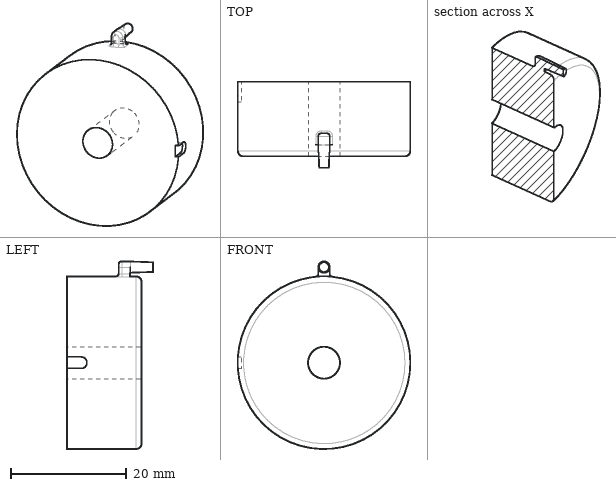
import cadquery as cq
import math

body_diameter = 30.0
body_length = 13.0
body_edge_radius = 1.0
bore_diameter = 5.5

slot_width = 2.0
slot_length = 3.5
slot_depth = 0.6

post_width = 2.0
post_thickness = 2.0
post_front = 2.0
post_top = 17.59
post_root_depth = 4.0
post_edge_radius = 0.5
post_foot_radius = 0.5

peg_length = 4.0
peg_taper_angle = 2.0

body_radius = body_diameter / 2
post_radius = post_width / 2
peg_height = post_top - post_radius


def make_body():
    """Cylinder with its front rim rounded."""
    body = cq.Workplane("XZ").circle(body_radius).extrude(-body_length)
    return body.faces("<Y").edges().fillet(body_edge_radius)


def make_post():
    """Round-topped post, rooted inside the body, with its back outline rounded."""
    root_height = body_radius - post_root_depth
    post = (
        cq.Workplane("XZ", origin=(0, post_front, 0))
        .moveTo(-post_radius, root_height)
        .lineTo(post_radius, root_height)
        .lineTo(post_radius, peg_height)
        .threePointArc((0, post_top), (-post_radius, peg_height))
        .close()
        .extrude(-post_thickness)
    )
    return post.faces(">Y").edges().fillet(post_edge_radius)


def blend_post_foot(part):
    """Fillet where the sides and back of the post meet the rim."""
    rim_height_at_side = math.sqrt(body_radius**2 - post_radius**2)
    margin = 0.02
    foot_zone = cq.selectors.BoxSelector(
        (-post_radius - margin, post_front + margin, rim_height_at_side - margin),
        (post_radius + margin, post_front + post_thickness + margin, body_radius + margin),
    )
    return part.edges(foot_zone).fillet(post_foot_radius)


def make_peg():
    """Cone frustum shrinking toward its front tip."""
    return (
        cq.Workplane("XZ", origin=(0, post_front, peg_height))
        .circle(post_radius)
        .extrude(peg_length, taper=peg_taper_angle)
    )


def make_slot():
    """Round-ended slot with a flat floor, running forward from the back face."""
    end_radius = slot_width / 2
    return (
        cq.Workplane("YZ", origin=(-body_radius, 0, 0))
        .moveTo(body_length, -end_radius)
        .lineTo(body_length - slot_length + end_radius, -end_radius)
        .threePointArc(
            (body_length - slot_length, 0),
            (body_length - slot_length + end_radius, end_radius),
        )
        .lineTo(body_length, end_radius)
        .close()
        .extrude(slot_depth)
    )


def make_bore():
    """Through hole along the wheel axis."""
    return cq.Workplane("XZ").circle(bore_diameter / 2).extrude(-body_length)


result = blend_post_foot(make_body().union(make_post()))
result = result.union(make_peg()).cut(make_bore()).cut(make_slot())